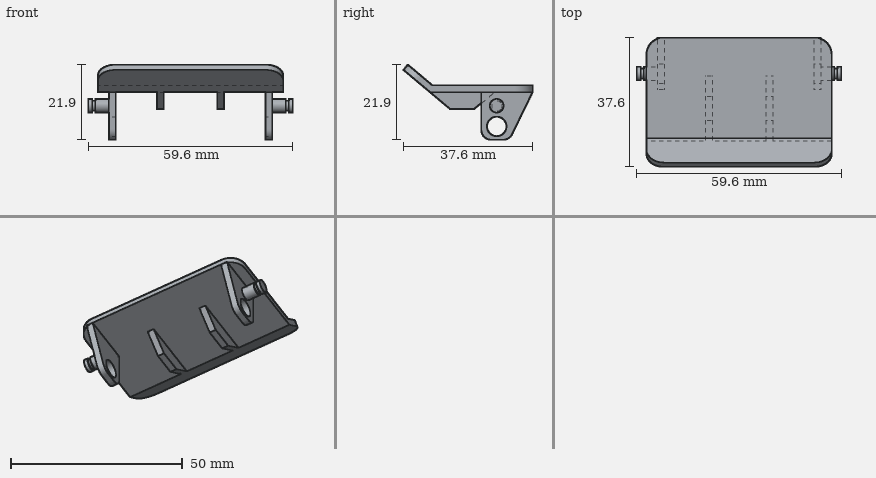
import cadquery as cq
import math

overall_width = 59.6
overall_depth = 37.65
plate_width = 54.0
thickness = 2.0
corner_radius = 5.0
bend_angle = math.radians(40)
bend_y = -29.25

bracket_drop = 13.95
bracket_depth = 15.0
bracket_foot_back_y = -6.8
bracket_fillet = 3.0
pivot_y = -10.5
bracket_hole_diameter = 5.6
bracket_hole_drop = 10.0

pin_length = 6.0
pin_diameter = 4.0
pin_drop = 4.0
pin_head_length = 1.2
groove_width = 0.9
groove_diameter = 3.05

rib_drop = 4.95
rib_foot_back_y = -17.05
rib_inner_x = 7.75

underside_z = -thickness
bracket_outer_x = overall_width / 2 - pin_length
bracket_inner_x = bracket_outer_x - thickness
lip_run = overall_depth + bend_y - thickness * math.sin(bend_angle)
lip_length = lip_run / math.cos(bend_angle)
lower_bend_y = bend_y - thickness * math.tan(bend_angle / 2)


def extrude_along_x(points, start_x, width):
    """Extrude a closed (Y, Z) outline in the +X direction."""
    return cq.Workplane("YZ").workplane(offset=start_x).polyline(points).close().extrude(width)


def cylinder_along_x(start_x, length, diameter, z):
    """Make a cylinder on the pivot's Y position."""
    plane = cq.Workplane("YZ").workplane(offset=start_x)
    return plane.center(pivot_y, z).circle(diameter / 2).extrude(length)


def make_plate():
    """Flat plate with an upturned front lip and four rounded corners."""
    lip_top = (bend_y - lip_run, lip_length * math.sin(bend_angle))
    lip_bottom = (-overall_depth, lip_top[1] - thickness * math.cos(bend_angle))
    outline = [
        (0, 0),
        (bend_y, 0),
        lip_top,
        lip_bottom,
        (lower_bend_y, underside_z),
        (0, underside_z),
    ]
    plate = extrude_along_x(outline, -plate_width / 2, plate_width)
    plate = plate.edges("|Z").fillet(corner_radius)
    lip_direction = cq.Vector(0, -math.sin(bend_angle), -math.cos(bend_angle))
    return plate.edges(cq.selectors.ParallelDirSelector(lip_direction)).fillet(corner_radius)


def make_bracket():
    """Tapered bracket with a rounded foot and a through hole, on the +X side."""
    foot_z = underside_z - bracket_drop
    outline = [
        (0, underside_z),
        (bracket_foot_back_y, foot_z),
        (-bracket_depth, foot_z),
        (-bracket_depth, underside_z),
    ]
    bracket = extrude_along_x(outline, bracket_inner_x, thickness)
    bracket = bracket.faces("<Z").edges("|X").fillet(bracket_fillet)
    hole_z = underside_z - bracket_hole_drop
    return bracket.cut(cylinder_along_x(bracket_inner_x, thickness, bracket_hole_diameter, hole_z))


def make_pin():
    """Pin with a retaining groove behind its head, on the +X side."""
    pin_z = underside_z - pin_drop
    head_x = overall_width / 2 - pin_head_length
    groove_x = head_x - groove_width
    shank = cylinder_along_x(bracket_outer_x, groove_x - bracket_outer_x, pin_diameter, pin_z)
    neck = cylinder_along_x(groove_x, groove_width, groove_diameter, pin_z)
    head = cylinder_along_x(head_x, pin_head_length, pin_diameter, pin_z)
    return shank.union(neck).union(head)


def make_rib():
    """Rib with both ends sloped at the bend angle, the front one flush with the lip."""
    slope_run = rib_drop / math.tan(bend_angle)
    foot_z = underside_z - rib_drop
    outline = [
        (rib_foot_back_y + slope_run, underside_z),
        (rib_foot_back_y, foot_z),
        (lower_bend_y + slope_run, foot_z),
        (lower_bend_y, underside_z),
    ]
    return extrude_along_x(outline, rib_inner_x, thickness)


result = make_plate()
for feature in (make_bracket(), make_pin(), make_rib()):
    result = result.union(feature).union(feature.mirror("YZ"))